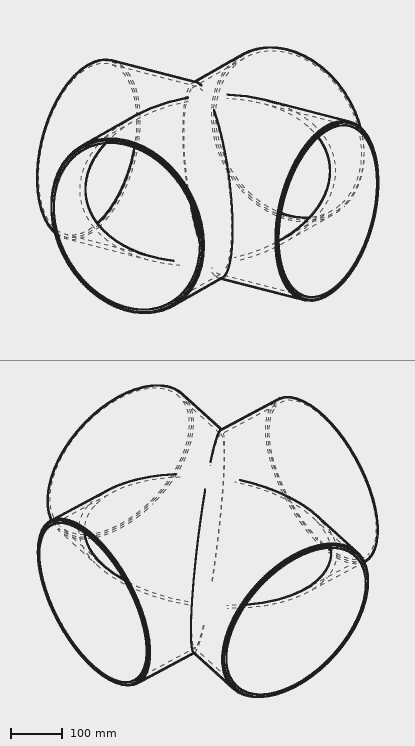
import cadquery as cq

outer_diameter = 355.6
wall_thickness = 7.92
overall_length = 558.8
bevel = wall_thickness / 3

outer_radius = outer_diameter / 2
inner_radius = outer_radius - wall_thickness

RUN_PLANES = ("YZ", "XZ")


def cylinder(plane, radius):
    """Full-length cylinder centred on the origin, normal to the given plane."""
    return cq.Workplane(plane).circle(radius).extrude(overall_length / 2, both=True)


def crossed(cylinders):
    """Join the cylinders of the two runs into one cross."""
    x_cylinder, y_cylinder = cylinders
    return x_cylinder.union(y_cylinder)


def bevelled_run(plane):
    """Solid pipe run with the outer edge bevelled at both ends."""
    return cylinder(plane, outer_radius).faces("%PLANE").edges().chamfer(bevel)


body = crossed([bevelled_run(plane) for plane in RUN_PLANES])
bores = crossed([cylinder(plane, inner_radius) for plane in RUN_PLANES])

result = body.cut(bores)